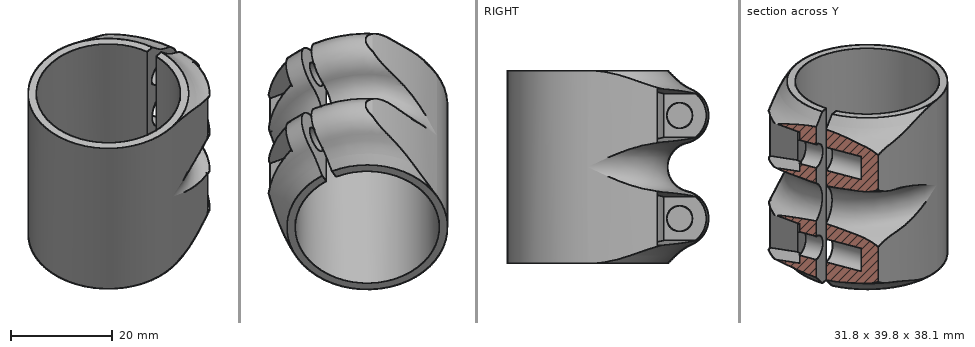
import cadquery as cq
import math

outer_radius = 15.88
bore_radius = 14.25
height = 38.1

crest_radius = 23.95
crest_z = 10.2
crest_round = 5.6
lip_chamfer = 1.6

flank_radius = 59.7
flank_end_y = 19.55
corner_x = 11.78
corner_y = 20.8

slit_width = 2.23
screw_y = 18.2
screw_hole_diameter = 5.1
thread_diameter = 5.0
thread_depth = 7.95
seat_x = 4.97
seat_floor_y = 13.73
seat_inner_width = 8.6
seat_outer_width = 10.9

margin = 3.98
half_height = height / 2

rise = crest_radius - outer_radius
round_sum = (crest_z**2 + rise**2) / (2 * rise)
valley_round = round_sum - crest_round
crest_center = crest_radius - crest_round
valley_center = outer_radius + valley_round
join_z = crest_z * valley_round / round_sum
join_radius = valley_center + (crest_center - valley_center) * valley_round / round_sum

lip_z = half_height - lip_chamfer
lip_radius = outer_radius + lip_chamfer
diagonal = math.sqrt(0.5)
lip_dz = lip_z - crest_z
lip_dr = lip_radius - crest_center
hollow_round = (lip_dz**2 + lip_dr**2 - crest_round**2) / (
    2 * (crest_round - diagonal * (lip_dz + lip_dr))
)
hollow_z = lip_z + diagonal * hollow_round
hollow_center = lip_radius + diagonal * hollow_round
crest_share = crest_round / (crest_round + hollow_round)
hollow_join_z = crest_z + crest_share * (hollow_z - crest_z)
hollow_join_radius = crest_center + crest_share * (hollow_center - crest_center)


def make_lug_rings():
    start_angle = math.atan2(hollow_center - hollow_join_radius, hollow_z - hollow_join_z)
    middle_angle = (start_angle + math.pi / 4) / 2
    middle_z = hollow_z - hollow_round * math.cos(middle_angle)
    middle_radius = hollow_center - hollow_round * math.sin(middle_angle)
    profile = (
        cq.Workplane("XZ")
        .moveTo(0, -half_height)
        .lineTo(outer_radius, -half_height)
        .lineTo(lip_radius, -lip_z)
        .threePointArc((middle_radius, -middle_z), (hollow_join_radius, -hollow_join_z))
        .threePointArc((crest_radius, -crest_z), (join_radius, -join_z))
        .threePointArc((outer_radius, 0), (join_radius, join_z))
        .threePointArc((crest_radius, crest_z), (hollow_join_radius, hollow_join_z))
        .threePointArc((middle_radius, middle_z), (lip_radius, lip_z))
        .lineTo(outer_radius, half_height)
        .lineTo(0, half_height)
        .close()
    )
    return profile.revolve(360, (0, 0, 0), (0, 1, 0))


def flank_x(y):
    """Half width of the lugs at a given Y; the flank is tangent to the tube at Y = 0."""
    return outer_radius - flank_radius + math.sqrt(flank_radius**2 - y**2)


def make_lug_outline():
    top_y = crest_radius + margin
    flank_end = flank_x(flank_end_y)
    flank_middle = flank_x(flank_end_y / 2)
    return (
        cq.Workplane("XY", origin=(0, 0, -half_height))
        .moveTo(-outer_radius, 0)
        .threePointArc((-flank_middle, flank_end_y / 2), (-flank_end, flank_end_y))
        .lineTo(-corner_x, corner_y)
        .lineTo(-corner_x, top_y)
        .lineTo(corner_x, top_y)
        .lineTo(corner_x, corner_y)
        .lineTo(flank_end, flank_end_y)
        .threePointArc((flank_middle, flank_end_y / 2), (outer_radius, 0))
        .close()
        .extrude(height)
    )


def x_cylinder(diameter, start_x, length, z):
    """Cylinder along +X on a screw axis."""
    return cq.Workplane("YZ", origin=(start_x, screw_y, z)).circle(diameter / 2).extrude(length)


def make_head_seat(z):
    """Pocket for a screw head, open to +X and +Y and widening towards +X."""
    return (
        cq.Workplane("XZ", origin=(0, seat_floor_y, z))
        .moveTo(seat_x, -seat_inner_width / 2)
        .lineTo(outer_radius, -seat_outer_width / 2)
        .lineTo(outer_radius, seat_outer_width / 2)
        .lineTo(seat_x, seat_inner_width / 2)
        .close()
        .extrude(-crest_radius)
    )


tube = cq.Workplane("XY").cylinder(height, outer_radius)
bore = cq.Workplane("XY").cylinder(height, bore_radius)
slit = cq.Workplane("XY").box(slit_width, crest_radius + margin, height, centered=(True, False, True))

lugs = make_lug_rings().intersect(make_lug_outline())
for screw_z in (-crest_z, crest_z):
    lugs = lugs.cut(make_head_seat(screw_z))

result = lugs.union(tube).cut(bore).cut(slit)

thread_start = -slit_width / 2 - thread_depth
for screw_z in (-crest_z, crest_z):
    result = result.cut(x_cylinder(screw_hole_diameter, 0, outer_radius, screw_z))
    result = result.cut(x_cylinder(thread_diameter, thread_start, -thread_start, screw_z))